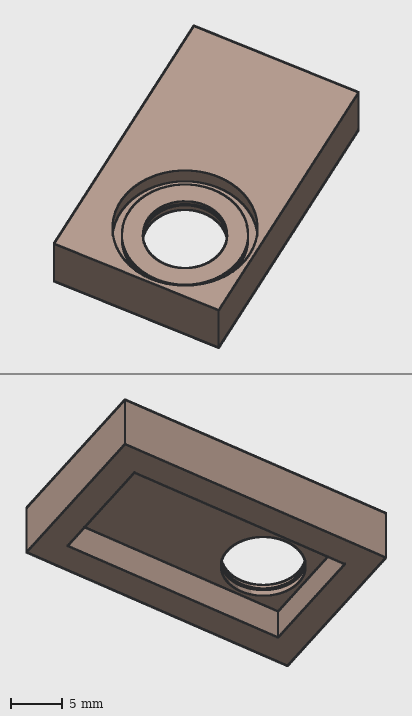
import cadquery as cq

LENGTH_X = 18.0
LENGTH_Y = 30.0
HEIGHT = 6.0

WALL = 2.9
ROOF = 2.5

CENTER_X = 10.5
CENTER_Y = 7.5
RECESS_DIAMETER = 14.13
RECESS_DEPTH = 1.75
BORE_DIAMETER = 8.25

SEAT_DIAMETER = 12.3
WASHER_THICKNESS = 0.2

RING_BORE_DIAMETER = 8.2
RING_TOP_DEPTH = 1.05

RECESS_FLOOR = HEIGHT - RECESS_DEPTH
RING_BOTTOM = RECESS_FLOOR + WASHER_THICKNESS
RING_HEIGHT = HEIGHT - RING_TOP_DEPTH - RING_BOTTOM


def cylinder(diameter, bottom, height):
    """Upright cylinder on the axis of the bore."""
    return (
        cq.Workplane("XY", origin=(CENTER_X, CENTER_Y, bottom))
        .circle(diameter / 2)
        .extrude(height)
    )


def make_housing():
    """Block with an underside cavity, a top recess and a bore joining them."""
    block = cq.Workplane("XY").box(LENGTH_X, LENGTH_Y, HEIGHT, centered=False)
    cavity = (
        cq.Workplane("XY", origin=(WALL, WALL, 0))
        .box(LENGTH_X - 2 * WALL, LENGTH_Y - 2 * WALL, HEIGHT - ROOF, centered=False)
    )
    recess = cylinder(RECESS_DIAMETER, RECESS_FLOOR, RECESS_DEPTH)
    bore = cylinder(BORE_DIAMETER, 0, HEIGHT)
    return block.cut(cavity).cut(recess).cut(bore)


def make_washer():
    """Thin washer whose hole matches the bore of the housing."""
    outer = cylinder(SEAT_DIAMETER, RECESS_FLOOR, WASHER_THICKNESS)
    hole = cylinder(BORE_DIAMETER, RECESS_FLOOR, WASHER_THICKNESS)
    return outer.cut(hole)


def make_ring():
    """Flat ring on the washer, with a hole slightly smaller than the bore."""
    outer = cylinder(SEAT_DIAMETER, RING_BOTTOM, RING_HEIGHT)
    hole = cylinder(RING_BORE_DIAMETER, RING_BOTTOM, RING_HEIGHT)
    return outer.cut(hole)


housing = make_housing()
washer = make_washer()
ring = make_ring()

result = cq.Compound.makeCompound([housing.val(), washer.val(), ring.val()])